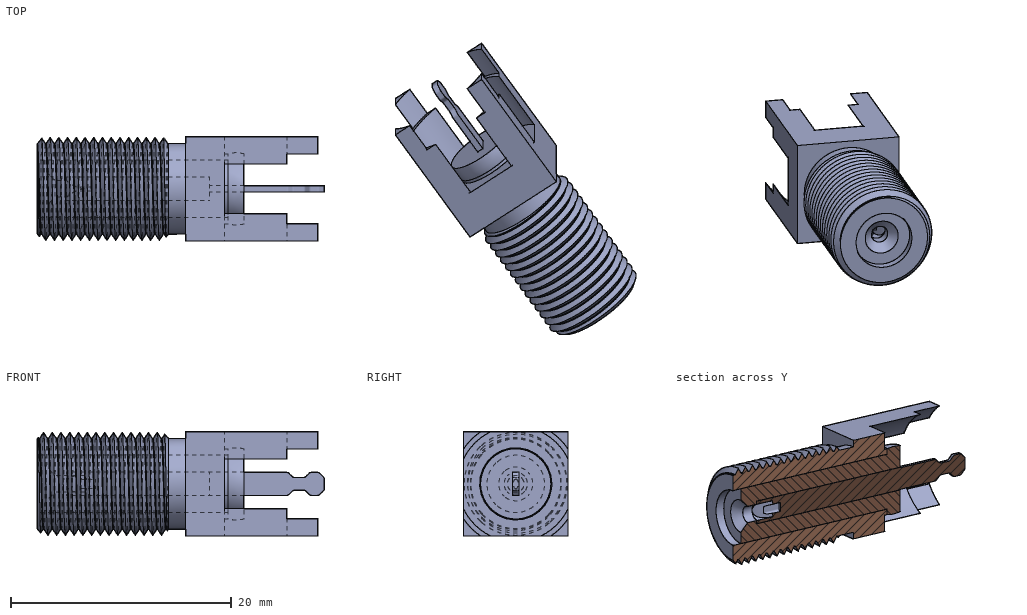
import cadquery as cq
import math

LENGTH = 26.1
BODY_SIDE = 9.5

THREAD_END = 11.95
BODY_START = 13.5
LEG_CAVITY_START = 17.05
BOSS_END = 17.33
INSULATOR_END = 18.8
LEG_STEP = 22.68
BODY_END = 25.5

CORE_RADIUS = 4.12
CREST_RADIUS = 4.67
THREAD_TURNS = 15
TURNS_LENGTH = 11.9
PITCH = TURNS_LENGTH / THREAD_TURNS
RIDGE_BASE = 0.75
RIDGE_ROOT_SINK = 0.03
ENVELOPE_MARGIN = 0.03
FIRST_CREST = PITCH / 4
FRONT_FACE_RADIUS = 4.07
BEVEL_LENGTH = 0.52

WINDOW_WIDTH = 4.5
LEG_TIP_GAP = 6.32
BOSS_RADIUS = 3.18

INSULATOR_RADIUS = 2.6
RECESS_DEPTH = 0.85
CAP_BULGE = 0.1
FUNNEL_RADIUS = 1.55
ENTRY_RADIUS = 0.75
ENTRY_LENGTH = 1.05
FUNNEL_END = RECESS_DEPTH + FUNNEL_RADIUS - ENTRY_RADIUS

TAIL_HEIGHT = 2.11
TAIL_THICKNESS = 0.57
TAIL_START = 15.65
TAIL_NECK_HEIGHT = 1.17
TAIL_NECK_START = 23.25
TAIL_NECK_END = 24.33
TAIL_TIP_CHAMFER = 0.52
TAIL_FILLET = 0.3
LIP_ANGLE = math.radians(45)
BARREL_RADIUS = TAIL_HEIGHT / 2
BARREL_START = FUNNEL_END + ENTRY_LENGTH
SLOT_WIDTH = 0.37
SLOT_HEIGHT = 0.84
SLOT_DEPTH = 2.6


def rod(radius, start, end):
    """Round bar on the X axis between two stations."""
    return cq.Workplane("YZ", origin=(start, 0, 0)).circle(radius).extrude(end - start)


def bore_radius(gap):
    """Radius of a bore that opens the flat body sides over the given width."""
    return math.hypot(BODY_SIDE / 2, gap / 2)


def revolve_about_x(profile):
    """Close a half profile and turn it about the connector axis."""
    return profile.close().revolve(360, (0, 0, 0), (1, 0, 0))


def thread_ridge():
    """Helical V ridge, running past both ends of the threaded length."""
    lead_in = PITCH - FIRST_CREST
    turns = math.ceil((THREAD_END + lead_in) / PITCH) + 1
    root = CORE_RADIUS - RIDGE_ROOT_SINK
    path = cq.Workplane(obj=cq.Wire.makeHelix(PITCH, turns * PITCH, root))
    ridge = (
        cq.Workplane("XZ")
        .moveTo(root, -RIDGE_BASE / 2)
        .lineTo(CREST_RADIUS, 0)
        .lineTo(root, RIDGE_BASE / 2)
        .close()
        .sweep(path, isFrenet=True)
    )
    return ridge.rotate((0, 0, 0), (0, 1, 0), 90).translate((-lead_in, 0, 0))


def sleeve_envelope():
    """Outer shape of thread and neck, with the thread bevelled at both ends."""
    outer = CREST_RADIUS + ENVELOPE_MARGIN
    return revolve_about_x(
        cq.Workplane("XY")
        .lineTo(0, FRONT_FACE_RADIUS)
        .lineTo(BEVEL_LENGTH, outer)
        .lineTo(THREAD_END - BEVEL_LENGTH, outer)
        .lineTo(THREAD_END, CORE_RADIUS)
        .lineTo(BODY_START, CORE_RADIUS)
        .lineTo(BODY_START, 0)
    )


def make_housing():
    """Threaded sleeve and square body with four corner legs, bored for the insulator."""
    sleeve = rod(CORE_RADIUS, -2 * PITCH, BODY_START).union(thread_ridge())
    sleeve = sleeve.intersect(sleeve_envelope())
    body = cq.Workplane("YZ", origin=(BODY_START, 0, 0)).rect(BODY_SIDE, BODY_SIDE)
    body = body.extrude(BODY_END - BODY_START)
    body = body.cut(rod(bore_radius(WINDOW_WIDTH), LEG_CAVITY_START, BODY_END))
    body = body.cut(rod(bore_radius(LEG_TIP_GAP), LEG_STEP, BODY_END))
    boss = rod(BOSS_RADIUS, LEG_CAVITY_START, BOSS_END)
    return sleeve.union(body).union(boss).cut(rod(INSULATOR_RADIUS, 0, BOSS_END))


def make_tail():
    """Flat solder tail with a waist and a bevelled tip."""
    half = TAIL_HEIGHT / 2
    waist = TAIL_NECK_HEIGHT / 2
    slope = half - waist
    upper = [
        (TAIL_START, half),
        (TAIL_NECK_START - slope, half),
        (TAIL_NECK_START, waist),
        (TAIL_NECK_END, waist),
        (TAIL_NECK_END + slope, half),
        (LENGTH - TAIL_TIP_CHAMFER, half),
        (LENGTH, half - TAIL_TIP_CHAMFER),
    ]
    lower = [(x, -z) for x, z in reversed(upper)]
    return (
        cq.Workplane("XZ")
        .polyline(upper + lower)
        .close()
        .extrude(TAIL_THICKNESS / 2, both=True)
        .edges("|Y and (not <X)")
        .fillet(TAIL_FILLET)
    )


def make_contact():
    """Round spring contact with a slotted entry, carrying the flat solder tail."""
    barrel = rod(BARREL_RADIUS, BARREL_START, TAIL_START)
    lip_radius = ENTRY_RADIUS / (1 - math.cos(LIP_ANGLE))
    lip_end = BARREL_START + lip_radius * math.sin(LIP_ANGLE)
    entry = (
        cq.Workplane("XY")
        .moveTo(BARREL_START, ENTRY_RADIUS)
        .radiusArc((lip_end, 0), -lip_radius)
        .radiusArc((BARREL_START, -ENTRY_RADIUS), -lip_radius)
        .close()
        .extrude(ENTRY_RADIUS, both=True)
        .intersect(rod(ENTRY_RADIUS, BARREL_START, lip_end))
    )
    slot = (
        cq.Workplane("YZ", origin=(BARREL_START, 0, 0))
        .slot2D(SLOT_HEIGHT, SLOT_WIDTH, 90)
        .extrude(SLOT_DEPTH)
    )
    return barrel.cut(entry).cut(slot).union(make_tail())


def make_insulator():
    """Funnelled insulator plug with a barrel-shaped rear cap and a seat for the contact."""
    cap_middle = (BOSS_END + INSULATOR_END) / 2
    blank = revolve_about_x(
        cq.Workplane("XY")
        .moveTo(BARREL_START, 0)
        .lineTo(BARREL_START, ENTRY_RADIUS)
        .lineTo(FUNNEL_END, ENTRY_RADIUS)
        .lineTo(RECESS_DEPTH, FUNNEL_RADIUS)
        .lineTo(RECESS_DEPTH, INSULATOR_RADIUS)
        .lineTo(BOSS_END, INSULATOR_RADIUS)
        .lineTo(BOSS_END, BOSS_RADIUS)
        .threePointArc((cap_middle, BOSS_RADIUS + CAP_BULGE), (INSULATOR_END, BOSS_RADIUS))
        .lineTo(INSULATOR_END, 0)
    )
    tail_slot = (
        cq.Workplane("YZ", origin=(TAIL_START, 0, 0))
        .rect(TAIL_THICKNESS, TAIL_HEIGHT)
        .extrude(INSULATOR_END - TAIL_START)
    )
    return blank.cut(rod(BARREL_RADIUS, BARREL_START, TAIL_START)).cut(tail_slot)


housing = make_housing()
insulator = make_insulator()
contact = make_contact()

result = cq.Compound.makeCompound([housing.val(), insulator.val(), contact.val()])